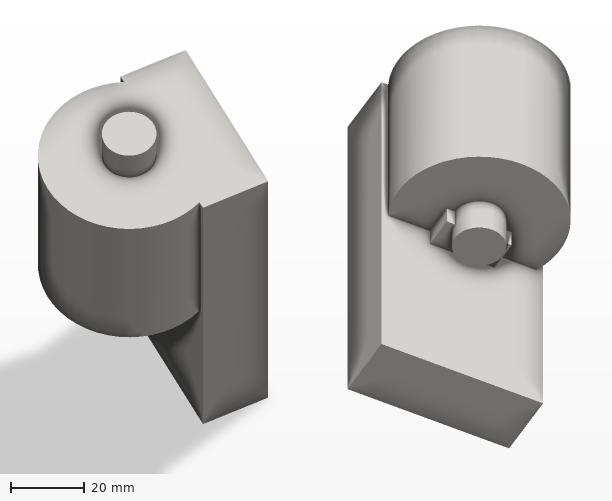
import cadquery as cq

total_height = 110.0
width = 50.0
plate_thickness = 20.0
barrel_height = 50.0
axis_offset = 10.0
pin_diameter = 15.0
pin_overhang = 10.0
lug_width = 20.0
lug_height = 5.0

plate_height = total_height - pin_overhang
barrel_bottom = plate_height - barrel_height
pin_bottom = barrel_bottom - pin_overhang
pin_length = total_height - pin_bottom


def make_pin():
    """Straight round pin along the barrel axis."""
    return cq.Workplane("XY").workplane(offset=pin_bottom).circle(pin_diameter / 2).extrude(pin_length)


def make_plate():
    """Upright back plate with its front face at Y = axis_offset."""
    return (
        cq.Workplane("XY")
        .center(0, axis_offset + plate_thickness / 2)
        .rect(width, plate_thickness)
        .extrude(plate_height)
    )


def make_barrel():
    """Round barrel, flush with the top of the plate and partly sunk into it."""
    return cq.Workplane("XY").workplane(offset=barrel_bottom).circle(width / 2).extrude(barrel_height)


def make_lug():
    """Small block under the barrel, from the plate's front face to the barrel axis."""
    return (
        cq.Workplane("XY")
        .workplane(offset=barrel_bottom - lug_height)
        .center(0, axis_offset / 2)
        .rect(lug_width, axis_offset)
        .extrude(lug_height)
    )


def make_housing(pin):
    """Plate, barrel and lug in one piece, bored through to match the pin."""
    return make_plate().union(make_barrel()).union(make_lug()).cut(pin)


pin = make_pin()
housing = make_housing(pin)

result = cq.Compound.makeCompound([housing.val(), pin.val()])